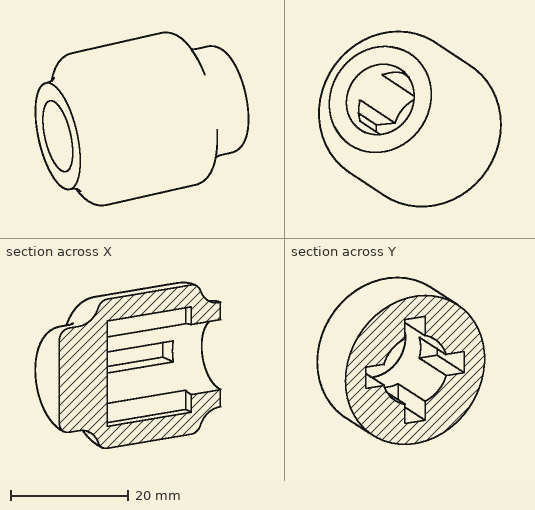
import cadquery as cq
import math

length = 32.2
body_radius = 13.3
neck_radius = 9.3
shoulder_round = 2.0
neck_sweep = 2 * shoulder_round
end_round = shoulder_round
front_lip = 0.2
back_neck = 2 * shoulder_round

shoulder_angle = math.acos(1 - (body_radius - neck_radius) / (neck_sweep + shoulder_round))
shoulder_length = (neck_sweep + shoulder_round) * math.sin(shoulder_angle)
body_start = front_lip + shoulder_length
body_end = length - back_neck - shoulder_length

bore_radius = 6.18
keyway_width = 3.75
keyway_reach = neck_radius
keyway_start = body_start
bore_depth = body_end
keyway_count = 4


def shoulder_points(neck_y, direction):
    """Points of one shoulder, from the neck out to the body.

    direction is +1 where the body lies toward +Y of the neck, otherwise -1.
    """

    def sweep_point(angle):
        return (
            neck_radius + neck_sweep * (1 - math.cos(angle)),
            neck_y + direction * neck_sweep * math.sin(angle),
        )

    def round_point(angle):
        return (
            body_radius - shoulder_round * (1 - math.cos(angle)),
            neck_y + direction * (shoulder_length - shoulder_round * math.sin(angle)),
        )

    half_angle = shoulder_angle / 2
    return (
        sweep_point(0),
        sweep_point(half_angle),
        sweep_point(shoulder_angle),
        round_point(half_angle),
        round_point(0),
    )


def make_body():
    """Solid of revolution about Y, before the bore is cut."""
    front = shoulder_points(front_lip, 1)
    back = shoulder_points(length - back_neck, -1)
    round_center = (neck_radius - end_round, length - end_round)
    round_offset = end_round * math.sqrt(0.5)
    profile = (
        cq.Workplane("XY")
        .moveTo(0, 0)
        .lineTo(neck_radius, 0)
        .lineTo(*front[0])
        .threePointArc(front[1], front[2])
        .threePointArc(front[3], front[4])
        .lineTo(*back[4])
        .threePointArc(back[3], back[2])
        .threePointArc(back[1], back[0])
        .lineTo(neck_radius, length - end_round)
        .threePointArc(
            (round_center[0] + round_offset, round_center[1] + round_offset),
            (round_center[0], length),
        )
        .lineTo(0, length)
        .close()
    )
    return profile.revolve(360, (0, 0, 0), (0, 1, 0))


def make_bore():
    """Round bore running in from the open end."""
    return cq.Workplane("XZ").circle(bore_radius).extrude(-bore_depth)


def make_keyway(angle):
    """One keyway, reaching from the axis outward at the given angle about Y."""
    keyway = cq.Workplane("XY").box(
        keyway_reach, bore_depth - keyway_start, keyway_width, centered=(False, False, True)
    )
    return keyway.translate((0, keyway_start, 0)).rotate((0, 0, 0), (0, 1, 0), angle)


result = make_body().cut(make_bore())
for index in range(keyway_count):
    result = result.cut(make_keyway(index * 360 / keyway_count))